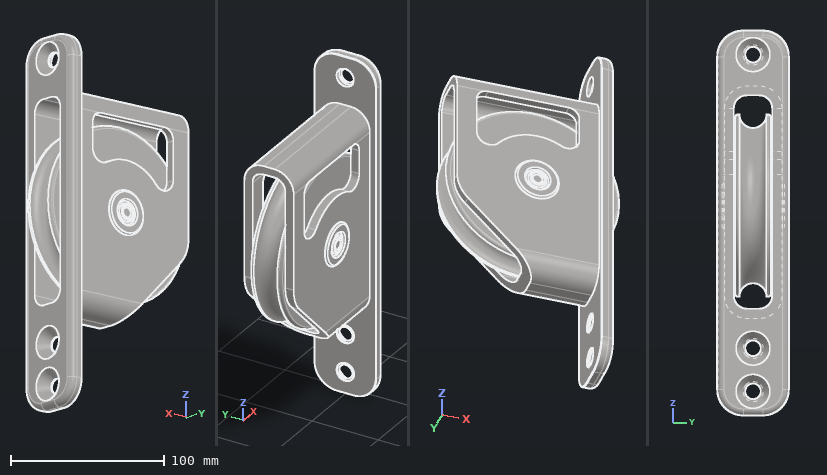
import cadquery as cq
import math


PLATE_LENGTH = 251.0
PLATE_WIDTH = 47.0
PLATE_BACK = 42.7
PLATE_THICKNESS = 9.3
PLATE_TOP = 114.2
PLATE_BOTTOM = PLATE_TOP - PLATE_LENGTH
PLATE_CORNER_RADIUS = 17.0
PLATE_EDGE_FILLET = 4.5
PLATE_BACK_CHAMFER = 0.38
SCREW_HOLE_DIAMETER = 10.0
SCREW_HOLE_MOUTH = 13.0
UPPER_MOUTH_DEPTH = 3.3
LOWER_MOUTH_DEPTH = 0.8
COUNTERSINK_DIAMETER = 22.0
SCREW_LAND = 0.8
SCREW_HOLE_END_DISTANCE = 15.8
LOWER_HOLE_SPACING = 28.0

HOUSING_WIDTH = 37.5
HOUSING_TOP = 78.0
HOUSING_BOTTOM = -73.3
HOUSING_FRONT = -55.0
HOUSING_RADIUS = 14.5
WALL = 6.3
CORNER_CUT_END = 0.0
CORNER_CUT_BLEND = 25.0

WINDOW_LEFT = -41.5
WINDOW_RIGHT = 29.0
WINDOW_TOP = HOUSING_TOP - HOUSING_RADIUS
WINDOW_CORNER_RADIUS = 7.5
WINDOW_LOBE_RADIUS = 8.5
WINDOW_ARC_RADIUS = 35.5

WHEEL_DIAMETER = 119.0
WHEEL_WIDTH = 23.3
WHEEL_EDGE_FILLET = 2.0
GROOVE_RADIUS = 8.8

AXLE_DIAMETER = 22.0
WASHER_DIAMETER = 30.0
WASHER_HEIGHT = 1.5
WASHER_CHAMFER = 1.3
RECESS_MOUTH = 17.8
RECESS_FLOOR = 15.5
RECESS_DEPTH = 1.3
STUD_DIAMETER = 12.5
STUD_CHAMFER = 1.0
SOCKET_MOUTH = 9.0
SOCKET_FLOOR = 6.5
SOCKET_DEPTH = 0.5


def rounded_bar(width, bottom, top, radius, start, length):
    """Bar along X with a rounded rectangular YZ section."""
    return (
        cq.Workplane("YZ", origin=(start, 0, (top + bottom) / 2))
        .rect(width, top - bottom)
        .extrude(length)
        .edges("|X")
        .fillet(radius)
    )


def housing_opening():
    """Inside of the housing, continued through the face plate."""
    return rounded_bar(
        HOUSING_WIDTH - 2 * WALL,
        HOUSING_BOTTOM + WALL,
        HOUSING_TOP - WALL,
        HOUSING_RADIUS - WALL,
        HOUSING_FRONT,
        PLATE_BACK + PLATE_THICKNESS - HOUSING_FRONT,
    )


def screw_hole(height, mouth_depth):
    """Screw hole along X: a wider mouth at the back, a short narrow land and a countersink."""
    front = PLATE_BACK + PLATE_THICKNESS
    bore = SCREW_HOLE_DIAMETER / 2
    mouth = SCREW_HOLE_MOUTH / 2
    half_section = [
        (PLATE_BACK, 0),
        (PLATE_BACK, mouth),
        (PLATE_BACK + mouth_depth, mouth),
        (PLATE_BACK + mouth_depth, bore),
        (PLATE_BACK + mouth_depth + SCREW_LAND, bore),
        (front, COUNTERSINK_DIAMETER / 2),
        (front, 0),
    ]
    hole = cq.Workplane("XY").polyline(half_section).close().revolve(360, (0, 0, 0), (1, 0, 0))
    return hole.translate((0, 0, height))


def face_plate():
    plate = rounded_bar(
        PLATE_WIDTH, PLATE_BOTTOM, PLATE_TOP, PLATE_CORNER_RADIUS, PLATE_BACK, PLATE_THICKNESS
    )
    plate = plate.faces(">X").edges().fillet(PLATE_EDGE_FILLET)
    plate = plate.faces("<X").edges().chamfer(PLATE_BACK_CHAMFER)
    upper_hole = PLATE_TOP - SCREW_HOLE_END_DISTANCE
    lowest_hole = PLATE_BOTTOM + SCREW_HOLE_END_DISTANCE
    plate = plate.cut(screw_hole(upper_hole, UPPER_MOUTH_DEPTH))
    for height in (lowest_hole, lowest_hole + LOWER_HOLE_SPACING):
        plate = plate.cut(screw_hole(height, LOWER_MOUTH_DEPTH))
    return plate


def side_outline():
    """Housing side seen along Y: a rectangle with its lower front corner cut at 45 degrees."""
    cut_size = CORNER_CUT_END - HOUSING_FRONT
    return (
        cq.Workplane("XZ")
        .moveTo(HOUSING_FRONT, HOUSING_TOP)
        .lineTo(PLATE_BACK, HOUSING_TOP)
        .lineTo(PLATE_BACK, HOUSING_BOTTOM)
        .lineTo(CORNER_CUT_END, HOUSING_BOTTOM)
        .lineTo(HOUSING_FRONT, HOUSING_BOTTOM + cut_size)
        .close()
        .extrude(HOUSING_WIDTH / 2, both=True)
        .edges(cq.selectors.NearestToPointSelector((HOUSING_FRONT, 0, HOUSING_BOTTOM + cut_size)))
        .fillet(CORNER_CUT_BLEND)
    )


def window():
    """Window whose lower side is an arc about the wheel axis between two round lobes."""
    lobe_distance = WINDOW_ARC_RADIUS + WINDOW_LOBE_RADIUS

    def lobe(center_x):
        center_z = math.sqrt(lobe_distance**2 - center_x**2)
        inward = WINDOW_ARC_RADIUS / lobe_distance
        tangent = (center_x * inward, center_z * inward)
        return center_z, tangent

    left_x = WINDOW_LEFT + WINDOW_LOBE_RADIUS
    right_x = WINDOW_RIGHT - WINDOW_LOBE_RADIUS
    left_z, left_tangent = lobe(left_x)
    right_z, right_tangent = lobe(right_x)
    return (
        cq.Workplane("XZ")
        .moveTo(WINDOW_LEFT, WINDOW_TOP)
        .lineTo(WINDOW_LEFT, left_z)
        .tangentArcPoint(left_tangent, relative=False)
        .threePointArc((0, WINDOW_ARC_RADIUS), right_tangent)
        .tangentArcPoint((WINDOW_RIGHT, right_z), relative=False)
        .lineTo(WINDOW_RIGHT, WINDOW_TOP)
        .close()
        .extrude(HOUSING_WIDTH / 2, both=True)
        .edges("|Y and >Z")
        .fillet(WINDOW_CORNER_RADIUS)
    )


def housing():
    tube = rounded_bar(
        HOUSING_WIDTH,
        HOUSING_BOTTOM,
        HOUSING_TOP,
        HOUSING_RADIUS,
        HOUSING_FRONT,
        PLATE_BACK - HOUSING_FRONT,
    )
    return tube.intersect(side_outline()).cut(window())


def wheel():
    rim = WHEEL_DIAMETER / 2
    disc = (
        cq.Workplane("XZ")
        .circle(rim)
        .extrude(WHEEL_WIDTH / 2, both=True)
        .edges()
        .fillet(WHEEL_EDGE_FILLET)
    )
    groove = cq.Workplane("XY").add(
        cq.Solid.makeTorus(rim, GROOVE_RADIUS, cq.Vector(0, 0, 0), cq.Vector(0, 1, 0))
    )
    return disc.cut(groove)


def axle():
    """Turned axle with a washer, a recess and a hollow stud at each end."""
    end = HOUSING_WIDTH / 2 + WASHER_HEIGHT
    floor = end - RECESS_DEPTH
    washer = WASHER_DIAMETER / 2
    stud = STUD_DIAMETER / 2
    half_section = [
        (0, 0),
        (AXLE_DIAMETER / 2, 0),
        (AXLE_DIAMETER / 2, HOUSING_WIDTH / 2),
        (washer, HOUSING_WIDTH / 2),
        (washer, end - WASHER_CHAMFER),
        (washer - WASHER_CHAMFER, end),
        (RECESS_MOUTH / 2, end),
        (RECESS_FLOOR / 2, floor),
        (stud, floor),
        (stud, end - STUD_CHAMFER),
        (stud - STUD_CHAMFER, end),
        (SOCKET_MOUTH / 2, end),
        (SOCKET_FLOOR / 2, end - SOCKET_DEPTH),
        (0, end - SOCKET_DEPTH),
    ]
    half = cq.Workplane("XY").polyline(half_section).close().revolve(360, (0, 0, 0), (0, 1, 0))
    return half.union(half.mirror("XZ"))


result = face_plate().union(housing()).cut(housing_opening()).union(wheel()).union(axle())